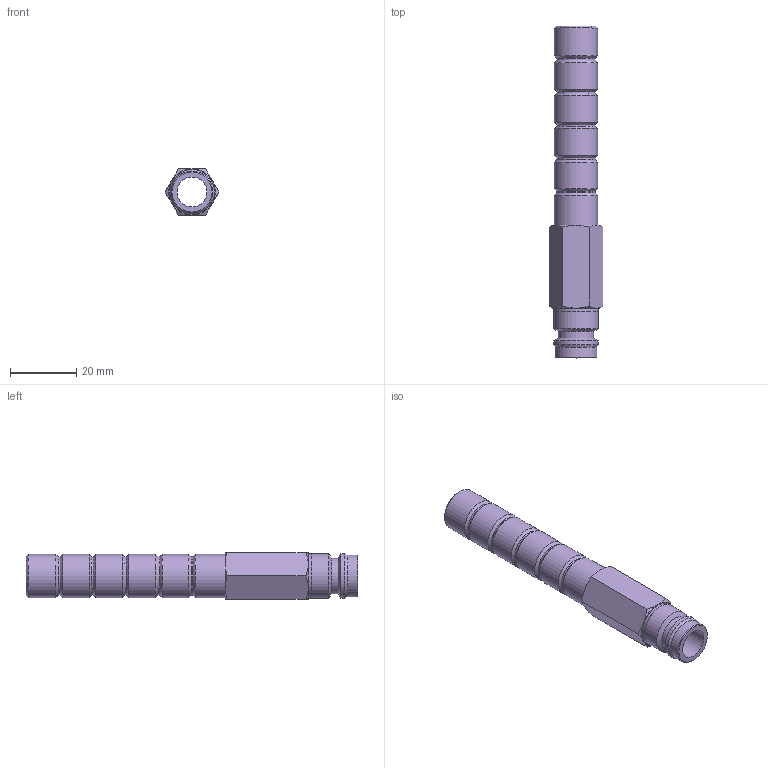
import cadquery as cq
import math

total_length = 100.0
bore_diameter = 9.0

tail_radius = 6.3
tail_chamfer = 0.25
rib_radius = 6.75
rib_start = 4.0
rib_end = 5.18
rib_tail_flank_angle = 30.0
neck_radius = 5.35
neck_flank_angle = 60.0

collar_radius = 6.75
collar_start = 8.8
undercut_radius = 6.65
undercut_width = 1.0

hex_across_flats = 14.0
hex_start = 15.0
hex_end = 40.0
hex_chamfer_angle = 60.0
hex_face_radius = hex_across_flats / 2

stem_radius = 6.5
stem_end_chamfer = 0.6
groove_pitch = 10.0
groove_count = 5
groove_depth = 0.75
groove_bottom_width = 0.5


def revolve_about_y(points):
    """Revolve a closed (radius, y) outline around the Y axis."""
    return cq.Workplane("XY").polyline(points).close().revolve(360, (0, 0, 0), (0, 1, 0))


def cone_length(radius_change, angle_from_axis):
    """Length along Y of a cone with the given change of radius."""
    return radius_change / math.tan(math.radians(angle_from_axis))


def make_coupling():
    """Tail, rib, neck, collar and undercut, running up to the hexagon."""
    tail_end = rib_start - cone_length(rib_radius - tail_radius, rib_tail_flank_angle)
    neck_start = rib_end + cone_length(rib_radius - neck_radius, neck_flank_angle)
    neck_end = collar_start - cone_length(collar_radius - neck_radius, neck_flank_angle)
    undercut_start = hex_start - undercut_width
    return revolve_about_y([
        (0, 0),
        (tail_radius - tail_chamfer, 0),
        (tail_radius, tail_chamfer),
        (tail_radius, tail_end),
        (rib_radius, rib_start),
        (rib_radius, rib_end),
        (neck_radius, neck_start),
        (neck_radius, neck_end),
        (collar_radius, collar_start),
        (collar_radius, undercut_start),
        (undercut_radius, undercut_start),
        (undercut_radius, hex_start),
        (0, hex_start),
    ])


def make_hexagon():
    """Hexagonal bar with corners on the X axis and both ends turned to a cone."""
    corner_radius = hex_across_flats / 2 / math.cos(math.radians(30))
    bar = (
        cq.Workplane("XZ", origin=(0, hex_end, 0))
        .polygon(6, 2 * corner_radius)
        .extrude(hex_end - hex_start)
    )
    chamfer_length = cone_length(corner_radius - hex_face_radius, hex_chamfer_angle)
    turned_envelope = revolve_about_y([
        (0, hex_start),
        (hex_face_radius, hex_start),
        (corner_radius, hex_start + chamfer_length),
        (corner_radius, hex_end - chamfer_length),
        (hex_face_radius, hex_end),
        (0, hex_end),
    ])
    return bar.intersect(turned_envelope)


def groove_outline(center):
    """Groove with 45 degree flanks, as stem outline points in order of falling Y."""
    half_bottom = groove_bottom_width / 2
    half_top = half_bottom + groove_depth
    bottom_radius = stem_radius - groove_depth
    return [
        (stem_radius, center + half_top),
        (bottom_radius, center + half_bottom),
        (bottom_radius, center - half_bottom),
        (stem_radius, center - half_top),
    ]


def make_stem():
    """Hose stem with a chamfered end and a row of equal grooves."""
    outline = [
        (0, total_length),
        (stem_radius - stem_end_chamfer, total_length),
        (stem_radius, total_length - stem_end_chamfer),
    ]
    for i in range(1, groove_count + 1):
        outline += groove_outline(total_length - i * groove_pitch)
    outline += [(stem_radius, hex_end), (0, hex_end)]
    return revolve_about_y(outline)


def make_bore():
    """Through bore along the whole part."""
    return cq.Workplane("XZ").circle(bore_diameter / 2).extrude(-total_length)


result = make_coupling().union(make_hexagon()).union(make_stem()).cut(make_bore())